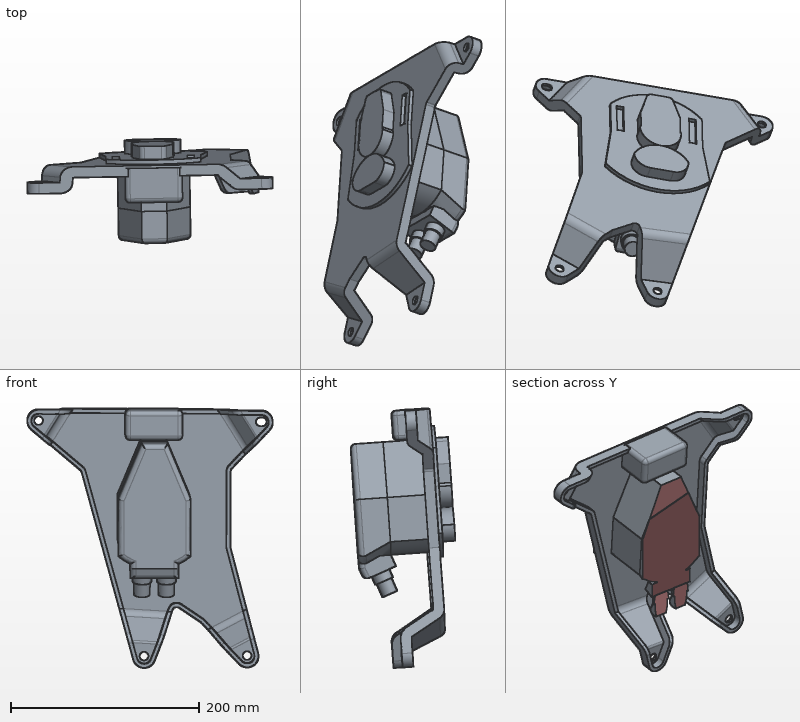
import cadquery as cq
import math

PITCH = 4.0
YAW = 1.0

RIM_DEPTH = 11.5
RIM_WIDTH = 4.5
SKIN = 2.8
FLOOR_DEPTH = SKIN - RIM_DEPTH
LUG_RADIUS = 12.2
HOLE_DIAMETER = 9.0
SLOT_LENGTH = 11.3
CORNER_RADIUS = 4.5
LEG_HALF_WIDTH = 38.7
FRONT_LIMIT = 83.0
BRACKET_SPAN = 829.0
LEFT_WAIST = (-76.8, 74.0)
RIGHT_WAIST_TOP = (82.0, 75.5)
RIGHT_WAIST_BOTTOM = (82.0, -7.5)
NOTCH_TOP = (22.7, -68.5)
NOTCH_SIDE = (50.5, -87.3)

TOP_LEFT = dict(lug=(-122.5, 128.5), heading=148, reach=25.0, slope=85, rise=16.5)
TOP_RIGHT = dict(lug=(114.5, 127.0), heading=32, reach=33.0, slope=45, rise=15.8)
BOTTOM_LEFT = dict(lug=(-10.5, -120.5), heading=266.5, reach=46.5, slope=60, rise=44.8)
BOTTOM_RIGHT = dict(lug=(99.2, -120.5), heading=298, reach=42.0, slope=60, rise=37.0)
LEGS = [TOP_LEFT, TOP_RIGHT, BOTTOM_LEFT, BOTTOM_RIGHT]

HOUSING_HALF_WIDTH = 38.5
HOUSING_TOP = 108.0
HOUSING_TOP_HALF_WIDTH = 13.5
HOUSING_SHOULDER = 49.0
HOUSING_SIDE_BOTTOM = 1.7
HOUSING_BOTTOM = -12.5
SPLIT_DEPTH = 39.5
COVER_DEPTH = 74.0
COVER_DROP = 16.5
COVER_FILLET = 5.5

CONNECTOR_TILT = 20.0
BLOCK_HALF_WIDTH = 25.7
BLOCK_LENGTH = 13.0
BLOCK_THICKNESS = 36.2
CONNECTOR_SPACING = 26.0
CONNECTOR_INSET = 17.7
COLLAR_DIAMETER = 20.5
COLLAR_LENGTH = 9.5
PLUG_DIAMETER = 17.0
PLUG_LENGTH = 15.2

BOX_WIDTH = 60.8
BOX_TOP = 140.5
BOX_BOTTOM = 109.0
BOX_DEPTH = 28.2
BOX_FILLET = 5.0

BACK_THICKNESS = 4.5
BACK_TOP = 121.5
BACK_UPPER_HALF_WIDTH = 50.3
BACK_UPPER_CORNER = 98.0
BACK_WAIST = 57.8
BACK_LOWER_HALF_WIDTH = 57.2
BACK_LOWER_CORNER = 7.0
BACK_BOTTOM = -18.2
BACK_SLOT_WIDTH = 7.7
BACK_SLOT_HEIGHT = 36.0
BACK_SLOT_X = 39.8
BACK_SLOT_Z = 78.5

BOSS_X = -0.5
BOSS_HEIGHT = 13.8
UPPER_BOSS_TOP = 108.5
UPPER_BOSS_TOP_HALF_WIDTH = 13.3
UPPER_BOSS_CORNER_RADIUS = 5.5
UPPER_BOSS_SHOULDER = 80.7
UPPER_BOSS_HALF_WIDTH = 21.5
UPPER_BOSS_LEDGE = 60.0
UPPER_BOSS_LEDGE_DROP = 3.3
UPPER_BOSS_ROUND_RADIUS = 22.7
UPPER_BOSS_WIDEST = UPPER_BOSS_LEDGE - UPPER_BOSS_LEDGE_DROP
UPPER_BOSS_BOTTOM = UPPER_BOSS_WIDEST - UPPER_BOSS_ROUND_RADIUS
LOWER_BOSS_HALF_WIDTH = 29.8
LOWER_BOSS_DOME_HEIGHT = 18.5
LOWER_BOSS_BOTTOM = -2.2
LOWER_BOSS_CORNER_RADIUS = 17.0


def layer(depth):
    """Work plane facing forwards at the given depth."""
    return cq.Workplane("XZ").workplane(offset=depth)


def side_section():
    """Work plane in the middle, with depth to the right and z up."""
    return cq.Workplane(cq.Plane(origin=(0, 0, 0), xDir=(0, -1, 0), normal=(-1, 0, 0)))


def polar(centre, radius, angle):
    """Point at a distance and angle (degrees) from a centre."""
    turn = math.radians(angle)
    return (centre[0] + radius * math.cos(turn), centre[1] + radius * math.sin(turn))


def tangent_angle(corner, lug, side):
    """Angle on the lug circle where a line from the corner touches it, on side +1 or -1."""
    across, up = corner[0] - lug[0], corner[1] - lug[1]
    swing = math.acos(LUG_RADIUS / math.hypot(across, up))
    return math.degrees(math.atan2(up, across) + side * swing)


def lug_end(outline, lug, start, end):
    """Adds a straight edge and then the lug arc, run clockwise between two angles."""
    middle = start - ((start - end) % 360) / 2
    outline = outline.lineTo(*polar(lug, LUG_RADIUS, start))
    return outline.threePointArc(polar(lug, LUG_RADIUS, middle), polar(lug, LUG_RADIUS, end))


def bracket_outline():
    """Outline of the tray, as a solid that is deep enough for the bent legs."""
    top_left, top_right, bottom_left, bottom_right = [leg["lug"] for leg in LEGS]
    top_run = (top_right[0] - top_left[0], top_right[1] - top_left[1])
    top_normal = math.degrees(math.atan2(top_run[1], top_run[0])) + 90

    outline = layer(-RIM_DEPTH).moveTo(*LEFT_WAIST)
    outline = lug_end(outline, top_left, tangent_angle(LEFT_WAIST, top_left, -1), top_normal)
    outline = lug_end(outline, top_right, top_normal, tangent_angle(RIGHT_WAIST_TOP, top_right, 1))
    outline = outline.lineTo(*RIGHT_WAIST_TOP).lineTo(*RIGHT_WAIST_BOTTOM)
    start = tangent_angle(RIGHT_WAIST_BOTTOM, bottom_right, -1)
    outline = lug_end(outline, bottom_right, start, tangent_angle(NOTCH_SIDE, bottom_right, 1))
    outline = outline.lineTo(*NOTCH_SIDE).lineTo(*NOTCH_TOP)
    start = tangent_angle(NOTCH_TOP, bottom_left, -1)
    outline = lug_end(outline, bottom_left, start, tangent_angle(LEFT_WAIST, bottom_left, 1))
    solid = outline.close().extrude(FRONT_LIMIT)
    for corner in (LEFT_WAIST, RIGHT_WAIST_TOP, NOTCH_TOP):
        middle = (corner[0], RIM_DEPTH - FRONT_LIMIT / 2, corner[1])
        edge = solid.edges(cq.selectors.NearestToPointSelector(middle))
        solid = edge.fillet(CORNER_RADIUS)
    return solid


def leg_section(leg):
    """Work plane across the bend, from its start outwards and forwards."""
    turn = math.radians(leg["heading"])
    outward = (math.cos(turn), math.sin(turn))
    start = [leg["lug"][i] - leg["reach"] * outward[i] for i in range(2)]
    return cq.Workplane(
        cq.Plane(
            origin=(start[0], 0, start[1]),
            xDir=(outward[0], 0, outward[1]),
            normal=(outward[1], 0, -outward[0]),
        )
    )


def leg_space(leg):
    """All the space that a leg takes up beyond the start of its bend."""
    far = leg["reach"] + 2 * LUG_RADIUS
    section = leg_section(leg).moveTo(0, -FRONT_LIMIT).lineTo(far, -FRONT_LIMIT)
    section = section.lineTo(far, FRONT_LIMIT).lineTo(0, FRONT_LIMIT).close()
    return section.extrude(LEG_HALF_WIDTH, both=True)


def leg_above(leg, below_rim):
    """Space in front of the bent layer that lies a given distance below the rim edge.

    The first bend turns about the front of the rim, the second about its back.
    """
    rise, slope = leg["rise"], math.radians(leg["slope"])
    ramp = (rise - RIM_DEPTH * (1 - math.cos(slope))) / math.sin(slope)
    pivot = (
        RIM_DEPTH * math.sin(slope) + ramp * math.cos(slope),
        -RIM_DEPTH * math.cos(slope) + ramp * math.sin(slope),
    )
    second = RIM_DEPTH - below_rim
    steep = leg["slope"]
    far = leg["reach"] + 2 * LUG_RADIUS

    section = leg_section(leg).moveTo(0, FRONT_LIMIT).lineTo(0, -below_rim)
    if below_rim > 0:
        section = section.threePointArc(
            polar((0, 0), below_rim, steep / 2 - 90), polar((0, 0), below_rim, steep - 90)
        )
    section = section.lineTo(*polar(pivot, second, steep + 90))
    if second > 0:
        section = section.threePointArc(
            polar(pivot, second, steep / 2 + 90), polar(pivot, second, 90)
        )
    section = section.lineTo(far, rise - below_rim).lineTo(far, FRONT_LIMIT).close()
    return section.extrude(LEG_HALF_WIDTH, both=True)


def cut_to_layer(prism, below_rim):
    """The part of a prism in front of the bent layer a given distance below the rim edge."""
    slab = layer(-below_rim).rect(BRACKET_SPAN, BRACKET_SPAN).extrude(FRONT_LIMIT)
    shape = prism.intersect(slab)
    for leg in LEGS:
        shape = shape.cut(leg_space(leg))
    for leg in LEGS:
        shape = shape.union(prism.intersect(leg_above(leg, below_rim)))
    return shape


def make_bracket():
    """Bent tray with its rim and mounting holes, one of them a slot."""
    outline = bracket_outline()
    inside = layer(-RIM_DEPTH).add(outline.faces(">Y").wires().vals()).toPending()
    inside = inside.offset2D(-RIM_WIDTH).extrude(FRONT_LIMIT)
    tray = cut_to_layer(outline, RIM_DEPTH).cut(cut_to_layer(outline, 0))
    tray = tray.cut(cut_to_layer(inside, RIM_DEPTH - SKIN))
    for leg in LEGS:
        hole = layer(-RIM_DEPTH).moveTo(*leg["lug"])
        if leg is TOP_RIGHT:
            hole = hole.slot2D(SLOT_LENGTH, HOLE_DIAMETER)
        else:
            hole = hole.circle(HOLE_DIAMETER / 2)
        tray = tray.cut(hole.extrude(FRONT_LIMIT))
    return tray


def housing_outline(work, drop):
    """Housing outline whose lower end is moved down by the given drop."""
    side_bottom = HOUSING_SIDE_BOTTOM - drop
    return (
        work.moveTo(-HOUSING_TOP_HALF_WIDTH, HOUSING_TOP)
        .lineTo(HOUSING_TOP_HALF_WIDTH, HOUSING_TOP)
        .lineTo(HOUSING_HALF_WIDTH, HOUSING_SHOULDER)
        .lineTo(HOUSING_HALF_WIDTH, side_bottom)
        .threePointArc((0, HOUSING_BOTTOM - drop), (-HOUSING_HALF_WIDTH, side_bottom))
        .lineTo(-HOUSING_HALF_WIDTH, HOUSING_SHOULDER)
        .close()
    )


def make_base():
    """Rear half of the housing, standing on the floor of the bracket."""
    return housing_outline(layer(FLOOR_DEPTH), 0).extrude(SPLIT_DEPTH - FLOOR_DEPTH)


def block_point(outwards, along):
    """Depth and z of a point in the tilted block, from its upper rear corner."""
    tilt = math.radians(CONNECTOR_TILT)
    return (
        SPLIT_DEPTH + outwards * math.cos(tilt) - along * math.sin(tilt),
        HOUSING_BOTTOM - outwards * math.sin(tilt) - along * math.cos(tilt),
    )


def make_cover():
    """Front half of the housing with the tilted connector block."""
    cover = housing_outline(layer(SPLIT_DEPTH), 0)
    cover = housing_outline(cover.workplane(offset=COVER_DEPTH - SPLIT_DEPTH), COVER_DROP)
    cover = cover.loft(ruled=True)
    bend_z = block_point(BLOCK_THICKNESS, 0)[1]
    bend = (COVER_DEPTH, bend_z)
    lower_front = block_point(BLOCK_THICKNESS, BLOCK_LENGTH)
    trim = side_section().polyline(
        [bend, lower_front, (FRONT_LIMIT, lower_front[1]), (FRONT_LIMIT, bend_z)]
    )
    cover = cover.cut(trim.close().extrude(HOUSING_HALF_WIDTH, both=True))
    block = side_section().polyline(
        [
            block_point(0, 0),
            block_point(0, BLOCK_LENGTH),
            lower_front,
            bend,
            (COVER_DEPTH, HOUSING_BOTTOM),
        ]
    )
    block = block.close().extrude(BLOCK_HALF_WIDTH, both=True)
    cover = cover.union(block).clean()
    slope_middle = [(bend[i] + lower_front[i]) / 2 for i in range(2)]
    slope = cq.selectors.NearestToPointSelector((0, -slope_middle[0], slope_middle[1]))
    front_edges = cover.faces("<Y").edges("not <Z").add(cover.faces(slope).edges("not >Z"))
    return front_edges.fillet(COVER_FILLET)


def make_connector(x):
    """Stepped round connector that hangs from the block."""
    depth, z = block_point(CONNECTOR_INSET, BLOCK_LENGTH)
    tilt = math.radians(CONNECTOR_TILT)
    end = cq.Plane(
        origin=(x, -depth, z), xDir=(1, 0, 0), normal=(0, math.sin(tilt), -math.cos(tilt))
    )
    collar = cq.Workplane(end).circle(COLLAR_DIAMETER / 2).extrude(COLLAR_LENGTH)
    plug = cq.Workplane(end).circle(PLUG_DIAMETER / 2).extrude(COLLAR_LENGTH + PLUG_LENGTH)
    return collar.union(plug)


def make_box():
    """Rounded box that stands on the bracket floor and interrupts the top rim."""
    box = layer(FLOOR_DEPTH).center(0, (BOX_TOP + BOX_BOTTOM) / 2)
    box = box.rect(BOX_WIDTH, BOX_TOP - BOX_BOTTOM).extrude(BOX_DEPTH - FLOOR_DEPTH)
    return box.edges("|Y or <Y").fillet(BOX_FILLET)


def make_back_plate():
    """Plate with arched ends and two slots, flat against the back of the bracket."""
    plate = (
        layer(-RIM_DEPTH)
        .moveTo(-BACK_UPPER_HALF_WIDTH, BACK_UPPER_CORNER)
        .threePointArc((0, BACK_TOP), (BACK_UPPER_HALF_WIDTH, BACK_UPPER_CORNER))
        .lineTo(BACK_UPPER_HALF_WIDTH, BACK_WAIST)
        .lineTo(BACK_LOWER_HALF_WIDTH, BACK_LOWER_CORNER)
        .threePointArc((0, BACK_BOTTOM), (-BACK_LOWER_HALF_WIDTH, BACK_LOWER_CORNER))
        .lineTo(-BACK_UPPER_HALF_WIDTH, BACK_WAIST)
        .close()
        .extrude(-BACK_THICKNESS)
    )
    slots = layer(-RIM_DEPTH).pushPoints([(-BACK_SLOT_X, BACK_SLOT_Z), (BACK_SLOT_X, BACK_SLOT_Z)])
    return plate.cut(slots.rect(BACK_SLOT_WIDTH, BACK_SLOT_HEIGHT).extrude(-BACK_THICKNESS))


def boss_plane():
    """Work plane on the back of the back plate, centred on the bosses."""
    return layer(-RIM_DEPTH - BACK_THICKNESS).center(BOSS_X, 0)


def make_upper_boss():
    """Boss that narrows upwards and ends in a half round below."""
    boss = (
        boss_plane()
        .moveTo(-UPPER_BOSS_TOP_HALF_WIDTH, UPPER_BOSS_TOP)
        .lineTo(UPPER_BOSS_TOP_HALF_WIDTH, UPPER_BOSS_TOP)
        .lineTo(UPPER_BOSS_HALF_WIDTH, UPPER_BOSS_SHOULDER)
        .lineTo(UPPER_BOSS_HALF_WIDTH, UPPER_BOSS_LEDGE)
        .lineTo(UPPER_BOSS_ROUND_RADIUS, UPPER_BOSS_WIDEST)
        .threePointArc((0, UPPER_BOSS_BOTTOM), (-UPPER_BOSS_ROUND_RADIUS, UPPER_BOSS_WIDEST))
        .lineTo(-UPPER_BOSS_HALF_WIDTH, UPPER_BOSS_LEDGE)
        .lineTo(-UPPER_BOSS_HALF_WIDTH, UPPER_BOSS_SHOULDER)
        .close()
        .extrude(-BOSS_HEIGHT)
    )
    top_corners = boss.faces(">Z").edges("|Y")
    return top_corners.fillet(UPPER_BOSS_CORNER_RADIUS)


def make_lower_boss():
    """Domed boss with a rounded lower end that touches the upper boss from below."""
    middle = UPPER_BOSS_BOTTOM - LOWER_BOSS_DOME_HEIGHT
    boss = (
        boss_plane()
        .moveTo(-LOWER_BOSS_HALF_WIDTH, middle)
        .threePointArc((0, UPPER_BOSS_BOTTOM), (LOWER_BOSS_HALF_WIDTH, middle))
        .lineTo(LOWER_BOSS_HALF_WIDTH, LOWER_BOSS_BOTTOM)
        .lineTo(-LOWER_BOSS_HALF_WIDTH, LOWER_BOSS_BOTTOM)
        .close()
        .extrude(-BOSS_HEIGHT)
    )
    return boss.faces("<Z").edges("|Y").fillet(LOWER_BOSS_CORNER_RADIUS)


def tilt(body):
    """Leans the top of a body forwards and turns it slightly about the vertical."""
    body = body.rotate((0, 0, 0), (1, 0, 0), PITCH)
    return body.rotate((0, 0, 0), (0, 0, 1), YAW).val()


box = make_box()
bracket = make_bracket().cut(box)
base = make_base()
cover = make_cover()
connectors = [make_connector(side * CONNECTOR_SPACING / 2) for side in (-1, 1)]
back_plate = make_back_plate()
upper_boss = make_upper_boss()
lower_boss = make_lower_boss()

bodies = [bracket, base, cover, *connectors, box, back_plate, upper_boss, lower_boss]
result = cq.Compound.makeCompound([tilt(body) for body in bodies])